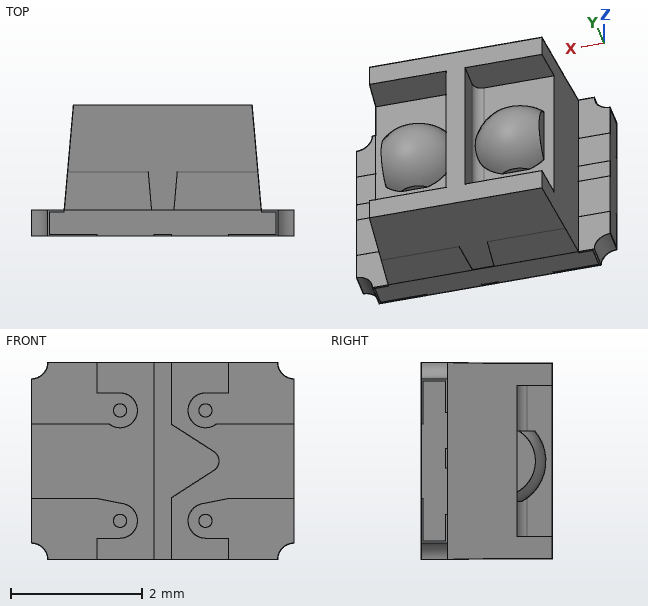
import cadquery as cq
import math

BOARD_X = 4.0
BOARD_Z = 3.0
BOARD_T = 0.4
CORNER_R = 0.25
FOIL_T = 0.03

HALF_X = BOARD_X / 2
HALF_Z = BOARD_Z / 2
FOIL_TOP_Y = BOARD_T - FOIL_T

PAD_STEP_X = 1.0
PAD_END_R = 0.265
VIA_X = 0.65
VIA_D = 0.2
UPPER_VIA_Z = 0.77
LOWER_VIA_Z = -0.91
UPPER_PAD_EDGE_Z = 0.56
LOWER_PAD_EDGE_Z = -0.57
TOP_PAD_INNER_X = 1.5
UPPER_TOP_PAD_EDGE_Z = 0.74
LOWER_TOP_PAD_EDGE_Z = -0.81

MARK_HALF_W = 0.13
ARROW_HALF_Z = 0.56
ARROW_SHARP_X = 1.0
ARROW_TIP_R = 0.17

TRACE_Z = 0.04
TRACE_W = 0.30

TOTAL_Y = 2.0
HOUSING_BASE_HALF_X = 1.5
HOUSING_HALF_Z = 1.49
DRAFT = math.tan(math.radians(5))
RAMP_TOP_Y = 0.98
RAMP_BASE_INNER_X = 0.17
RECESS_FLOOR_Y = 1.46
RECESS_HALF_Z = 1.15
RECESS_FILLET_R = 0.15
PARTITION_HALF_X = 0.15
LENS_X = 0.8
LENS_Y = 1.2
LENS_R = 0.7
LENS_FLAT_X = 1.245
LENS_TOP_Z = 0.46
LENS_BOTTOM_Z = -0.615


def slab(y_start):
    """Sketch plane parallel to XZ at the given y; a negative extrusion goes to +Y."""
    return cq.Workplane("XZ", origin=(0, y_start, 0))


def plate(points, y_start, thickness):
    """Flat plate with a polygon outline in X and Z."""
    return slab(y_start).polyline(points).close().extrude(-thickness)


def disc(x, z, radius, y_start, thickness):
    return slab(y_start).center(x, z).circle(radius).extrude(-thickness)


def board_block():
    return slab(0).rect(BOARD_X, BOARD_Z).extrude(-BOARD_T)


def corner_block(x_inner, z_inner, z_sign, y_start):
    """Foil rectangle that reaches from its inner edges to a board corner on the -X side."""
    z_outer = z_sign * HALF_Z
    outline = [(-HALF_X, z_inner), (-x_inner, z_inner), (-x_inner, z_outer), (-HALF_X, z_outer)]
    return plate(outline, y_start, FOIL_T)


def upper_pad_neck():
    """Straight neck from the wide part of the upper solder pad to its round end."""
    z_top = UPPER_VIA_Z + PAD_END_R
    outline = [
        (-PAD_STEP_X, UPPER_PAD_EDGE_Z),
        (-VIA_X, UPPER_PAD_EDGE_Z),
        (-VIA_X, z_top),
        (-PAD_STEP_X, z_top),
    ]
    return plate(outline, 0, FOIL_T)


def lower_pad_neck():
    """Tapered neck whose upper edge is tangent to the round end of the lower solder pad."""
    dx = VIA_X - PAD_STEP_X
    dz = LOWER_PAD_EDGE_Z - LOWER_VIA_Z
    tangent_angle = math.atan2(dz, dx) - math.acos(PAD_END_R / math.hypot(dx, dz))
    tangent = (
        -VIA_X + PAD_END_R * math.cos(tangent_angle),
        LOWER_VIA_Z + PAD_END_R * math.sin(tangent_angle),
    )
    z_bottom = LOWER_VIA_Z - PAD_END_R
    outline = [
        (-PAD_STEP_X, LOWER_PAD_EDGE_Z),
        tangent,
        (-VIA_X, LOWER_VIA_Z),
        (-VIA_X, z_bottom),
        (-PAD_STEP_X, z_bottom),
    ]
    return plate(outline, 0, FOIL_T)


def make_terminal(z_sign, via_z, pad_edge_z, top_pad_edge_z, neck):
    """Terminal at a -X corner of the board."""
    corner = (-HALF_X, z_sign * HALF_Z)
    solder_pad = (
        corner_block(PAD_STEP_X, pad_edge_z, z_sign, 0)
        .union(neck)
        .union(disc(-VIA_X, via_z, PAD_END_R, 0, FOIL_T))
        .cut(disc(-VIA_X, via_z, VIA_D / 2, 0, FOIL_T))
    )
    plating = disc(*corner, CORNER_R + FOIL_T, 0, BOARD_T).intersect(board_block())
    top_pad = corner_block(TOP_PAD_INNER_X, top_pad_edge_z, z_sign, FOIL_TOP_Y)
    notch = disc(*corner, CORNER_R, 0, BOARD_T)
    return solder_pad.union(plating).union(top_pad).cut(notch)


def make_terminals():
    left = [
        make_terminal(1, UPPER_VIA_Z, UPPER_PAD_EDGE_Z, UPPER_TOP_PAD_EDGE_Z, upper_pad_neck()),
        make_terminal(-1, LOWER_VIA_Z, LOWER_PAD_EDGE_Z, LOWER_TOP_PAD_EDGE_Z, lower_pad_neck()),
    ]
    right = [terminal.mirror("YZ") for terminal in left]
    return left + right


def make_marking():
    """Polarity strip across the solder side, with a rounded arrow."""
    strip = slab(0).rect(2 * MARK_HALF_W, BOARD_Z).extrude(-FOIL_T)
    outline = [(MARK_HALF_W, ARROW_HALF_Z), (ARROW_SHARP_X, 0), (MARK_HALF_W, -ARROW_HALF_Z)]
    arrow = plate(outline, 0, FOIL_T).edges("|Y").edges(">X").fillet(ARROW_TIP_R)
    return strip.union(arrow)


def make_trace():
    """Foil strip that runs along X under the housing."""
    return slab(FOIL_TOP_Y).center(0, TRACE_Z).rect(BOARD_X, TRACE_W).extrude(-FOIL_T)


def make_board(foils):
    """Board with notched corners and seats for the foils; it fills the via holes of the pads."""
    corners = slab(0).rect(BOARD_X, BOARD_Z, forConstruction=True).vertices()
    board = board_block().cut(corners.circle(CORNER_R).extrude(-BOARD_T))
    for foil in foils:
        board = board.cut(foil)
    return board


def housing_half_x(y):
    """Half width of the drafted housing at height y."""
    return HOUSING_BASE_HALF_X - DRAFT * (y - BOARD_T)


def make_housing_block():
    outline = [
        (-housing_half_x(BOARD_T), BOARD_T),
        (housing_half_x(BOARD_T), BOARD_T),
        (housing_half_x(TOTAL_Y), TOTAL_Y),
        (-housing_half_x(TOTAL_Y), TOTAL_Y),
    ]
    return cq.Workplane("XY").polyline(outline).close().extrude(HOUSING_HALF_Z, both=True)


def make_ramps():
    """Ramped zone on the +X side; it stands proud of both Z faces and widens to the board edge."""
    ramp_top_inner_x = RAMP_BASE_INNER_X + DRAFT * (RAMP_TOP_Y - BOARD_T)
    plan = [
        (RAMP_BASE_INNER_X, BOARD_T),
        (housing_half_x(BOARD_T), BOARD_T),
        (housing_half_x(RAMP_TOP_Y), RAMP_TOP_Y),
        (ramp_top_inner_x, RAMP_TOP_Y),
    ]
    profile = [
        (BOARD_T, -HALF_Z),
        (BOARD_T, HALF_Z),
        (RAMP_TOP_Y, HOUSING_HALF_Z),
        (RAMP_TOP_Y, -HOUSING_HALF_Z),
    ]
    plan_prism = cq.Workplane("XY").polyline(plan).close().extrude(HALF_Z, both=True)
    ramp_prism = cq.Workplane("YZ").polyline(profile).close().extrude(HALF_X)
    return plan_prism.intersect(ramp_prism)


def make_recess():
    """Recess on the +X side, open at the side and the end, rounded at the foot of the partition."""
    return (
        cq.Workplane("XY")
        .box(
            HALF_X - PARTITION_HALF_X,
            TOTAL_Y - RECESS_FLOOR_Y,
            2 * RECESS_HALF_Z,
            centered=(False, False, True),
        )
        .translate((PARTITION_HALF_X, RECESS_FLOOR_Y, 0))
        .edges("|Z and <X and <Y")
        .fillet(RECESS_FILLET_R)
    )


def make_lens():
    """Spherical lens on the +X side, cut flat on its outer, upper and lower sides."""
    limits = cq.Workplane("XY").box(
        LENS_FLAT_X, LENS_R, LENS_TOP_Z - LENS_BOTTOM_Z, centered=False
    ).translate((0, LENS_Y, LENS_BOTTOM_Z))
    return cq.Workplane("XY").sphere(LENS_R).translate((LENS_X, LENS_Y, 0)).intersect(limits)


def make_housing():
    housing = make_housing_block()
    ramps = make_ramps()
    recess = make_recess()
    lens = make_lens()
    housing = housing.union(ramps).union(ramps.mirror("YZ"))
    housing = housing.cut(recess).cut(recess.mirror("YZ"))
    return housing.union(lens).union(lens.mirror("YZ"))


terminals = make_terminals()
marking = make_marking()
trace = make_trace()
board = make_board([*terminals, marking, trace])
housing = make_housing()

bodies = [board, *terminals, marking, trace, housing]

result = cq.Compound.makeCompound([body.solids().val() for body in bodies])